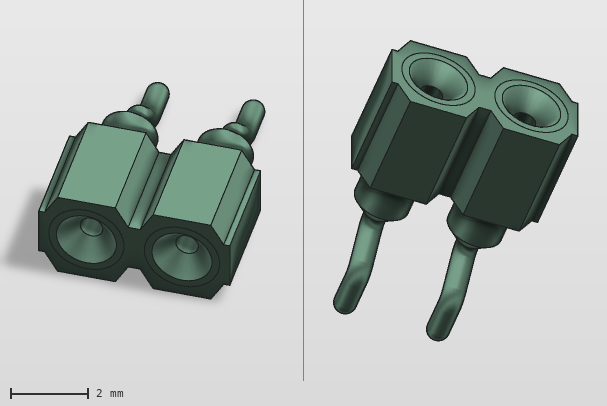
import cadquery as cq
import math

overall_length = 7.23
pin_count = 2
pitch = 2.541

housing_length = 3.0
housing_height = 2.54
housing_width = pin_count * pitch
waist_height = 1.36
cell_top_width = 1.53
cell_waist_width = 2.22

sleeve_diameter = 2.0
barrel_diameter = 1.5
barrel_length = 1.23
tail_diameter = 0.6
taper_length = (barrel_diameter - tail_diameter) / 2
bend_radius = 0.6
bend_angle = math.radians(45)

mouth_diameter = 1.6
socket_diameter = 0.6
lead_in_depth = (mouth_diameter - socket_diameter) / 2
socket_straight_end = housing_length

sleeve_radius = sleeve_diameter / 2
barrel_radius = barrel_diameter / 2
tail_radius = tail_diameter / 2
mouth_radius = mouth_diameter / 2
socket_radius = socket_diameter / 2
barrel_end = housing_length + barrel_length
tail_start = barrel_end + taper_length
tail_end = overall_length - tail_radius
tail_drop = housing_height / 2 - tail_radius
pin_positions = [(i - (pin_count - 1) / 2) * pitch for i in range(pin_count)]


def make_cell(center_x):
    """One eight-sided housing cell, waisted at mid height like a hexagon with its side corners cut."""
    half_top = cell_top_width / 2
    half_waist = cell_waist_width / 2
    half_height = housing_height / 2
    waist_level = waist_height / 2
    outline = [
        (center_x - half_top, half_height),
        (center_x + half_top, half_height),
        (center_x + half_waist, waist_level),
        (center_x + half_waist, -waist_level),
        (center_x + half_top, -half_height),
        (center_x - half_top, -half_height),
        (center_x - half_waist, -waist_level),
        (center_x - half_waist, waist_level),
    ]
    return cq.Workplane("XZ").polyline(outline).close().extrude(-housing_length)


def make_housing():
    """Insulating housing with a plain through hole for each pin sleeve."""
    housing = cq.Workplane("XZ").rect(housing_width, waist_height).extrude(-housing_length)
    for center_x in pin_positions:
        housing = housing.union(make_cell(center_x))
    holes = (
        cq.Workplane("XZ")
        .pushPoints([(center_x, 0) for center_x in pin_positions])
        .circle(sleeve_radius)
        .extrude(-housing_length)
    )
    return housing.cut(holes)


def make_turned_section():
    """Sleeve, barrel and taper with the socket inside, revolved about the Y axis."""
    return (
        cq.Workplane("XY")
        .moveTo(mouth_radius, 0)
        .lineTo(sleeve_radius, 0)
        .lineTo(sleeve_radius, housing_length)
        .lineTo(barrel_radius, housing_length)
        .lineTo(barrel_radius, barrel_end)
        .lineTo(tail_radius, tail_start)
        .lineTo(0, tail_start)
        .lineTo(0, socket_straight_end + socket_radius)
        .radiusArc((socket_radius, socket_straight_end), socket_radius)
        .lineTo(socket_radius, lead_in_depth)
        .close()
        .revolve(360, (0, 0, 0), (0, 1, 0))
    )


def make_tail():
    """Round wire that steps down through two opposite bends and ends in a hemisphere."""
    bend_run = bend_radius * math.sin(bend_angle)
    bend_drop = bend_radius * (1 - math.cos(bend_angle))
    half_bend_run = bend_radius * math.sin(bend_angle / 2)
    half_bend_drop = bend_radius * (1 - math.cos(bend_angle / 2))
    slope_run = (tail_drop - 2 * bend_drop) / math.tan(bend_angle)
    foot_start = tail_start + 2 * bend_run + slope_run

    path = (
        cq.Workplane("YZ")
        .moveTo(tail_start, 0)
        .threePointArc(
            (tail_start + half_bend_run, -half_bend_drop),
            (tail_start + bend_run, -bend_drop),
        )
        .lineTo(foot_start - bend_run, bend_drop - tail_drop)
        .threePointArc(
            (foot_start - half_bend_run, half_bend_drop - tail_drop),
            (foot_start, -tail_drop),
        )
        .lineTo(tail_end, -tail_drop)
    )
    wire = cq.Workplane("XZ", origin=(0, tail_start, 0)).circle(tail_radius).sweep(path)
    tip = (
        cq.Workplane("XY", origin=(0, tail_end, -tail_drop))
        .lineTo(tail_radius, 0)
        .radiusArc((0, tail_radius), -tail_radius)
        .close()
        .revolve(360, (0, 0, 0), (0, 1, 0))
    )
    return wire.union(tip)


def make_pin(center_x):
    """One complete contact pin, centred in its housing cell."""
    return make_turned_section().union(make_tail()).translate((center_x, 0, 0))


housing = make_housing()
pins = [make_pin(center_x) for center_x in pin_positions]

result = cq.Compound.makeCompound([housing.solids().val(), *[pin.solids().val() for pin in pins]])